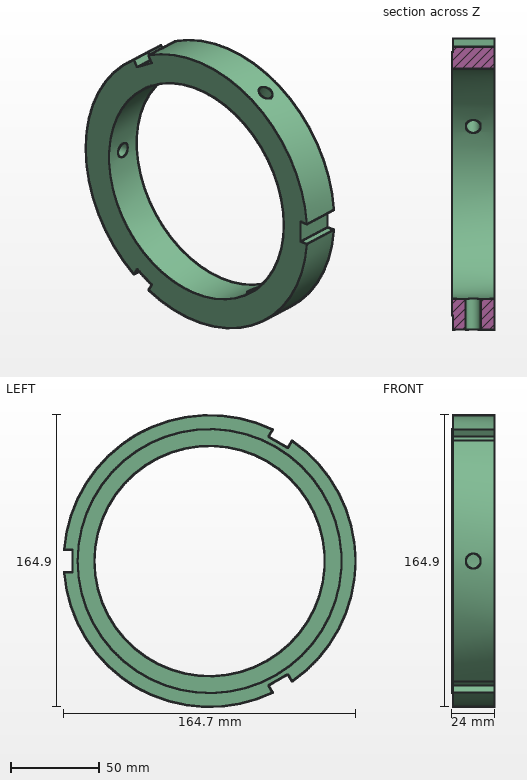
import cadquery as cq

outer_diameter = 164.9
bore_diameter = 130.0
total_width = 24.0

face_diameter = 149.0
face_height = 0.5
body_width = total_width - face_height

feature_count = 3
slot_width = 12.5
slot_depth = 5.0
hole_diameter = 8.4

outer_radius = outer_diameter / 2
angle_step = 360 / feature_count
first_slot_angle = 0
first_hole_angle = first_slot_angle + angle_step / 2


def make_ring():
    """Plain body from X = 0 to body_width, with the raised face below X = 0."""
    body = cq.Workplane("YZ").circle(outer_radius).extrude(body_width)
    face = cq.Workplane("YZ").circle(face_diameter / 2).extrude(-face_height)
    bore = (
        cq.Workplane("YZ", origin=(-face_height, 0, 0))
        .circle(bore_diameter / 2)
        .extrude(total_width)
    )
    return body.union(face).cut(bore)


def make_slot_cutter():
    """Flat-floored slot across the full width of the rim at +Y."""
    floor_radius = outer_radius - slot_depth
    return cq.Workplane("XY").box(
        total_width, 2 * slot_depth, slot_width, centered=(False, False, True)
    ).translate((-face_height, floor_radius, 0))


def make_hole_cutter():
    """Radial hole toward +Y, at the middle of the total width."""
    return (
        cq.Workplane("XZ", origin=(total_width / 2 - face_height, 0, 0))
        .circle(hole_diameter / 2)
        .extrude(-outer_diameter)
    )


def cut_around(part, cutter, first_angle):
    """Cut equally spaced copies of the cutter around the X axis."""
    for index in range(feature_count):
        angle = first_angle + index * angle_step
        part = part.cut(cutter.rotate((0, 0, 0), (1, 0, 0), angle))
    return part


ring = make_ring()
slotted_ring = cut_around(ring, make_slot_cutter(), first_slot_angle)
result = cut_around(slotted_ring, make_hole_cutter(), first_hole_angle)